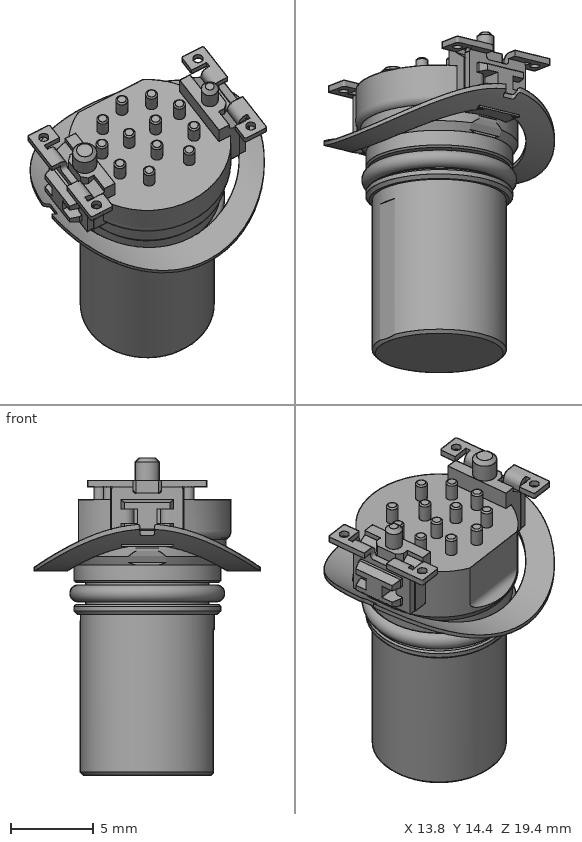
import math

import cadquery as cq

BARREL_RADIUS = 4.09
BARREL_HEIGHT = 9.8
BARREL_CHAMFER = 0.2
KEY_FLAT_X = 4.03
KEY_FLAT_HEIGHT = 8.9
FLANGE_RADIUS = 4.48
GROOVE_RADIUS = 3.76
GROOVE_BOTTOM_Z = 10.42
GROOVE_TOP_Z = 11.76
FLANGE_CHAMFER = 0.22
GROOVE_EDGE_CHAMFER = 0.12
SHOULDER_Z = 12.82
ORING_RADIUS = 0.52
ORING_CENTER_RADIUS = 4.2

HEAD_RADIUS = 4.8
HEAD_BOTTOM_Z = 13.33
HEAD_TOP_Z = 16.8
BULGE_RADIUS = 5.09
BULGE_ROUND_DEPTH = 0.33
BULGE_BOTTOM_Z = 14.37
BULGE_ROUND_TOP_Z = 14.95
SIDE_FLAT_X = -4.19
SIDE_FLAT_BOTTOM_Z = 14.07
SIDE_FLAT_ROUND = 0.54
SIDE_LEDGE_SLOPE = math.radians(29)
RELIEF_HALF_LENGTH = 2.2
RELIEF_FLAT_Y = 4.75
RELIEF_FLAT_TOP_Z = 13.86
RELIEF_FLAT_BOTTOM_Z = 13.67
RELIEF_EDGE_Y = 4.665
RELIEF_EDGE_Z = 13.36
RELIEF_FOOT_Y = 4.43
RELIEF_FOOT_TOP_Z = 12.97

PIN_RADIUS = 0.36
PIN_TOP_Z = 17.97
PIN_CHAMFER = 0.1
OUTER_PIN_CIRCLE = 2.89
OUTER_PIN_COUNT = 9
OUTER_PIN_START = 30
OUTER_PIN_STEP = 37.5
INNER_PIN_CIRCLE = 1.1
INNER_PIN_COUNT = 3

WASHER_THICKNESS = 0.24
WASHER_BEND_RADIUS = 11.5
WASHER_BOTTOM_Z = 12.44
WASHER_HALF_X = 6.89
WASHER_HALF_Y = 7.235
WASHER_HOLE_HALF_X = 4.9
WASHER_HOLE_HALF_Y = 5.84
NOTCH_WIDTH = 0.9
NOTCH_FLOOR_Y = 6.74
NOTCH_ROUND = 0.14

BLOCK_HALF_WIDTH = 2.24
CLIP_BOTTOM_Z = 14.34
CLIP_TOP_Z = 17.97
BLOCK_INNER_Y = 3.75
BLOCK_STEP_Y = 4.5
BLOCK_STEP_Z = 17.65
BLOCK_SLOPE_END_Z = 17.17
PLATE_HALF_WIDTH = 2.19
PLATE_INNER_Y = 5.25
PLATE_OUTER_Y = 5.71
CORE_HALF_WIDTH = 1.04
CORE_TIP_HALF_WIDTH = 0.7
CORE_TAPER_Y = 4.9
WING_HALF_LENGTH = 3.63
WING_THICKNESS = 0.39
WING_INNER_Y = 4.76
WING_OUTER_Y = 6.34
WING_PAD_INNER_X = 2.48
WING_CORNER_ROUND = 0.12
WING_HOLE_RADIUS = 0.3
WING_HOLE_X = 3.01
WING_HOLE_Y = 5.56
SLIT_INNER_X = 2.15
SLIT_END_Y = 5.84
BEND_RADIUS = 0.5
GAP_HALF_WIDTH = 0.86
GAP_FLOOR_Z = 17.2
GAP_ROUND = 0.22
BRIDGE_HALF_WIDTH = 1.6
BRIDGE_BOTTOM_Z = 14.81
BRIDGE_TOP_Z = 16.82
BRIDGE_BASE_Y = 5.89
BRIDGE_FACE_Y = 6.48
BRIDGE_BEVEL = 0.2
WINDOW_INNER_X = 0.6
WINDOW_FLAT_X = 0.82
WINDOW_OUTER_X = 1.42
WINDOW_BOTTOM_Z = 15.36
WINDOW_TOP_Z = 16.22
FOOT_HALF_WIDTH = 1.57
FOOT_INNER_Y = 4.4
FOOT_OUTER_Y = 5.9
FOOT_BOTTOM_Z = 13.95
FOOT_TOP_Z = 14.2

POST_TOP_Z = 19.35
POST_CHAMFER = 0.25
POST_Y = 4.51
FRONT_POST_RADIUS = 0.74
REAR_POST_RADIUS = 0.52


def box(x_min, x_max, y_min, y_max, z_min, z_max):
    return cq.Workplane("XY").box(
        x_max - x_min, y_max - y_min, z_max - z_min, centered=False
    ).translate((x_min, y_min, z_min))


def yz_prism(outline, half_width):
    """Extrude a (y, z) polygon along X, symmetric about the YZ plane."""
    return cq.Workplane("YZ").polyline(outline).close().extrude(half_width, both=True)


def make_barrel():
    turned = (
        cq.Workplane("XZ")
        .moveTo(0, 0)
        .lineTo(BARREL_RADIUS - BARREL_CHAMFER, 0)
        .lineTo(BARREL_RADIUS, BARREL_CHAMFER)
        .lineTo(BARREL_RADIUS, BARREL_HEIGHT)
        .lineTo(FLANGE_RADIUS - FLANGE_CHAMFER, BARREL_HEIGHT)
        .lineTo(FLANGE_RADIUS, BARREL_HEIGHT + FLANGE_CHAMFER)
        .lineTo(FLANGE_RADIUS, GROOVE_BOTTOM_Z - GROOVE_EDGE_CHAMFER)
        .lineTo(FLANGE_RADIUS - GROOVE_EDGE_CHAMFER, GROOVE_BOTTOM_Z)
        .lineTo(GROOVE_RADIUS, GROOVE_BOTTOM_Z)
        .lineTo(GROOVE_RADIUS, GROOVE_TOP_Z)
        .lineTo(FLANGE_RADIUS - GROOVE_EDGE_CHAMFER, GROOVE_TOP_Z)
        .lineTo(FLANGE_RADIUS, GROOVE_TOP_Z + GROOVE_EDGE_CHAMFER)
        .lineTo(FLANGE_RADIUS, SHOULDER_Z)
        .lineTo(HEAD_RADIUS, HEAD_BOTTOM_Z)
        .lineTo(HEAD_RADIUS, HEAD_TOP_Z)
        .lineTo(0, HEAD_TOP_Z)
        .close()
        .revolve(360, (0, 0), (0, 1))
    )
    key_cut = box(KEY_FLAT_X, BARREL_RADIUS, -BARREL_RADIUS, BARREL_RADIUS, 0, KEY_FLAT_HEIGHT)
    return turned.cut(key_cut)


def make_oring():
    groove_middle_z = (GROOVE_BOTTOM_Z + GROOVE_TOP_Z) / 2
    return (
        cq.Workplane("YZ")
        .center(-ORING_CENTER_RADIUS, groove_middle_z)
        .circle(ORING_RADIUS)
        .revolve(360, (ORING_CENTER_RADIUS, 0), (ORING_CENTER_RADIUS, 1))
    )


def make_head_bulge():
    """Wider +X half of the head, rounded along its lower edge."""
    foot_radius = BULGE_RADIUS - BULGE_ROUND_DEPTH
    mid_point = (
        foot_radius + BULGE_ROUND_DEPTH * math.sin(math.pi / 4),
        BULGE_ROUND_TOP_Z - (BULGE_ROUND_TOP_Z - BULGE_BOTTOM_Z) * math.sin(math.pi / 4),
    )
    bulge = (
        cq.Workplane("XZ")
        .moveTo(0, BULGE_BOTTOM_Z)
        .lineTo(foot_radius, BULGE_BOTTOM_Z)
        .threePointArc(mid_point, (BULGE_RADIUS, BULGE_ROUND_TOP_Z))
        .lineTo(BULGE_RADIUS, HEAD_TOP_Z)
        .lineTo(0, HEAD_TOP_Z)
        .close()
        .revolve(360, (0, 0), (0, 1))
    )
    return bulge.intersect(box(0, BULGE_RADIUS, -BULGE_RADIUS, BULGE_RADIUS, 0, HEAD_TOP_Z))


def make_side_flat_cut():
    """Flat on the -X side that runs through a concave round into a sloping ledge."""
    round_center_x = SIDE_FLAT_X - SIDE_FLAT_ROUND

    def round_point(angle):
        return (
            round_center_x + SIDE_FLAT_ROUND * math.cos(angle),
            SIDE_FLAT_BOTTOM_Z - SIDE_FLAT_ROUND * math.sin(angle),
        )

    round_angle = math.pi / 2 - SIDE_LEDGE_SLOPE
    round_end_x, round_end_z = round_point(round_angle)
    ledge_drop = (round_end_x + HEAD_RADIUS) * math.tan(SIDE_LEDGE_SLOPE)
    return (
        cq.Workplane("XZ")
        .moveTo(SIDE_FLAT_X, HEAD_TOP_Z)
        .lineTo(SIDE_FLAT_X, SIDE_FLAT_BOTTOM_Z)
        .threePointArc(round_point(round_angle / 2), (round_end_x, round_end_z))
        .lineTo(-HEAD_RADIUS, round_end_z - ledge_drop)
        .lineTo(-HEAD_RADIUS, HEAD_TOP_Z)
        .close()
        .extrude(HEAD_RADIUS, both=True)
    )


def make_relief_cut():
    """Shallow relief across the lower edge of the head, for the -Y side."""
    return yz_prism(
        [
            (-HEAD_RADIUS, RELIEF_FLAT_TOP_Z),
            (-RELIEF_FLAT_Y, RELIEF_FLAT_TOP_Z),
            (-RELIEF_FLAT_Y, RELIEF_FLAT_BOTTOM_Z),
            (-RELIEF_EDGE_Y, RELIEF_EDGE_Z),
            (-RELIEF_FOOT_Y, RELIEF_FOOT_TOP_Z),
            (-RELIEF_FOOT_Y, SHOULDER_Z),
            (-HEAD_RADIUS, SHOULDER_Z),
        ],
        RELIEF_HALF_LENGTH,
    )


def make_pins():
    outer = [
        (OUTER_PIN_CIRCLE, OUTER_PIN_START + i * OUTER_PIN_STEP) for i in range(OUTER_PIN_COUNT)
    ]
    inner = [(INNER_PIN_CIRCLE, i * 360 / INNER_PIN_COUNT) for i in range(INNER_PIN_COUNT)]
    points = [
        (radius * math.cos(math.radians(angle)), radius * math.sin(math.radians(angle)))
        for radius, angle in outer + inner
    ]
    return (
        cq.Workplane("XY", origin=(0, 0, HEAD_BOTTOM_Z))
        .pushPoints(points)
        .circle(PIN_RADIUS)
        .extrude(PIN_TOP_Z - HEAD_BOTTOM_Z)
        .faces(">Z")
        .chamfer(PIN_CHAMFER)
    )


def make_washer():
    bend_center_z = WASHER_BOTTOM_Z + WASHER_BEND_RADIUS
    sheet = (
        cq.Workplane("YZ")
        .center(0, bend_center_z)
        .circle(WASHER_BEND_RADIUS)
        .circle(WASHER_BEND_RADIUS - WASHER_THICKNESS)
        .extrude(WASHER_HALF_X, both=True)
    )
    outline = (
        cq.Workplane("XY", origin=(0, 0, WASHER_BOTTOM_Z))
        .ellipse(WASHER_HALF_X, WASHER_HALF_Y)
        .ellipse(WASHER_HOLE_HALF_X, WASHER_HOLE_HALF_Y)
        .extrude(WASHER_BEND_RADIUS / 2)
    )
    notch = box(
        -NOTCH_WIDTH / 2, NOTCH_WIDTH / 2, NOTCH_FLOOR_Y, WASHER_HALF_Y, WASHER_BOTTOM_Z, bend_center_z
    )
    notch = notch.edges("|Z and <Y").fillet(NOTCH_ROUND)
    outline = outline.cut(notch).cut(notch.mirror("XZ"))
    mouth_y = NOTCH_FLOOR_Y + 2 * NOTCH_ROUND
    for y_min, y_max in ((mouth_y, WASHER_HALF_Y), (-WASHER_HALF_Y, -mouth_y)):
        mouth = cq.selectors.BoxSelector((-NOTCH_WIDTH, y_min, 0), (NOTCH_WIDTH, y_max, bend_center_z))
        outline = outline.edges(mouth).fillet(NOTCH_ROUND)
    return sheet.intersect(outline)


def make_clip_block():
    """Block behind the clip plate, sloped at the top except for a tapered core."""
    base = yz_prism(
        [
            (BLOCK_INNER_Y, HEAD_TOP_Z),
            (BLOCK_INNER_Y, CLIP_TOP_Z),
            (BLOCK_STEP_Y, CLIP_TOP_Z),
            (BLOCK_STEP_Y, BLOCK_STEP_Z),
            (PLATE_INNER_Y, BLOCK_SLOPE_END_Z),
            (PLATE_INNER_Y, CLIP_BOTTOM_Z),
            (BLOCK_INNER_Y, CLIP_BOTTOM_Z),
        ],
        BLOCK_HALF_WIDTH,
    )
    core = (
        cq.Workplane("XY", origin=(0, 0, HEAD_TOP_Z))
        .polyline([
            (-CORE_HALF_WIDTH, BLOCK_INNER_Y),
            (CORE_HALF_WIDTH, BLOCK_INNER_Y),
            (CORE_HALF_WIDTH, CORE_TAPER_Y),
            (CORE_TIP_HALF_WIDTH, PLATE_INNER_Y),
            (-CORE_TIP_HALF_WIDTH, PLATE_INNER_Y),
            (-CORE_HALF_WIDTH, CORE_TAPER_Y),
        ])
        .close()
        .extrude(CLIP_TOP_Z - HEAD_TOP_Z)
    )
    return base.union(core)


def make_clip_wings():
    """Flat solder wings with a hole in each pad and a slit beside the bend."""
    bottom_z = CLIP_TOP_Z - WING_THICKNESS
    wings = box(
        -WING_HALF_LENGTH, WING_HALF_LENGTH, WING_INNER_Y, WING_OUTER_Y, bottom_z, CLIP_TOP_Z
    )
    wings = wings.edges("|Z").fillet(WING_CORNER_ROUND)
    wings = wings.cut(box(
        -WING_PAD_INNER_X, WING_PAD_INNER_X, WING_INNER_Y, SLIT_END_Y, bottom_z, CLIP_TOP_Z
    ))
    wing_holes = (
        cq.Workplane("XY", origin=(0, 0, bottom_z))
        .pushPoints([(-WING_HOLE_X, WING_HOLE_Y), (WING_HOLE_X, WING_HOLE_Y)])
        .circle(WING_HOLE_RADIUS)
        .extrude(WING_THICKNESS)
    )
    return wings.cut(wing_holes)


def make_clip_plate():
    """Upright plate bent outward into two solder wings with a gap between them."""
    wing_bottom_z = CLIP_TOP_Z - WING_THICKNESS
    bend_start_z = CLIP_TOP_Z - BEND_RADIUS
    bend_end_y = PLATE_INNER_Y + BEND_RADIUS
    bend_shift = BEND_RADIUS * math.sin(math.pi / 4)
    upright = box(
        -PLATE_HALF_WIDTH, PLATE_HALF_WIDTH, PLATE_INNER_Y, PLATE_OUTER_Y, CLIP_BOTTOM_Z, bend_start_z
    )
    bend = (
        cq.Workplane("YZ")
        .moveTo(PLATE_INNER_Y, CLIP_BOTTOM_Z)
        .lineTo(PLATE_INNER_Y, bend_start_z)
        .threePointArc(
            (bend_end_y - bend_shift, bend_start_z + bend_shift), (bend_end_y, CLIP_TOP_Z)
        )
        .lineTo(WING_OUTER_Y, CLIP_TOP_Z)
        .lineTo(WING_OUTER_Y, wing_bottom_z)
        .lineTo(PLATE_OUTER_Y, wing_bottom_z)
        .lineTo(PLATE_OUTER_Y, CLIP_BOTTOM_Z)
        .close()
        .extrude(SLIT_INNER_X, both=True)
    )
    gap = box(
        -GAP_HALF_WIDTH, GAP_HALF_WIDTH, PLATE_INNER_Y, WING_OUTER_Y, GAP_FLOOR_Z, CLIP_TOP_Z
    )
    gap = gap.edges("|Y and <Z").fillet(GAP_ROUND)
    return upright.union(bend).union(make_clip_wings()).cut(gap)


def make_clip_bridge():
    """Raised block on the plate, bevelled on all four sides of its outer face."""
    width = 2 * BRIDGE_HALF_WIDTH
    height = BRIDGE_TOP_Z - BRIDGE_BOTTOM_Z
    middle_z = (BRIDGE_TOP_Z + BRIDGE_BOTTOM_Z) / 2
    bevel_depth = BRIDGE_FACE_Y - BRIDGE_BASE_Y
    base = box(
        -BRIDGE_HALF_WIDTH, BRIDGE_HALF_WIDTH, PLATE_INNER_Y, BRIDGE_BASE_Y, BRIDGE_BOTTOM_Z, BRIDGE_TOP_Z
    )
    raised = (
        cq.Workplane("XZ", origin=(0, BRIDGE_BASE_Y, middle_z))
        .rect(width, height)
        .workplane(offset=-bevel_depth)
        .rect(width - 2 * BRIDGE_BEVEL, height - 2 * BRIDGE_BEVEL)
        .loft(combine=True)
    )
    return base.union(raised)


def make_bridge_window():
    """Opening beside the web of the bridge, with a rounded inner edge in the plate."""
    round_depth = PLATE_OUTER_Y - PLATE_INNER_Y
    round_width = WINDOW_OUTER_X - WINDOW_FLAT_X
    mid_point = (
        WINDOW_OUTER_X - round_width * math.sin(math.pi / 4),
        PLATE_OUTER_Y - round_depth * (1 - math.cos(math.pi / 4)),
    )
    return (
        cq.Workplane("XY", origin=(0, 0, WINDOW_BOTTOM_Z))
        .moveTo(WINDOW_INNER_X, PLATE_INNER_Y)
        .lineTo(WINDOW_FLAT_X, PLATE_INNER_Y)
        .threePointArc(mid_point, (WINDOW_OUTER_X, PLATE_OUTER_Y))
        .lineTo(BRIDGE_HALF_WIDTH, PLATE_OUTER_Y)
        .lineTo(BRIDGE_HALF_WIDTH, BRIDGE_FACE_Y)
        .lineTo(WINDOW_INNER_X, BRIDGE_FACE_Y)
        .close()
        .extrude(WINDOW_TOP_Z - WINDOW_BOTTOM_Z)
    )


def make_clip(post_radius):
    """Clip for the +Y side with its guide post."""
    window = make_bridge_window()
    foot = box(
        -FOOT_HALF_WIDTH, FOOT_HALF_WIDTH, FOOT_INNER_Y, FOOT_OUTER_Y, FOOT_BOTTOM_Z, FOOT_TOP_Z
    )
    post = (
        cq.Workplane("XY", origin=(0, POST_Y, HEAD_TOP_Z))
        .circle(post_radius)
        .extrude(POST_TOP_Z - HEAD_TOP_Z)
        .faces(">Z")
        .chamfer(POST_CHAMFER)
    )
    plate = make_clip_plate().union(make_clip_bridge())
    plate = plate.cut(window).cut(window.mirror("YZ"))
    return plate.union(make_clip_block()).union(foot).union(post)


head = make_barrel().union(make_head_bulge())
relief = make_relief_cut()
head = head.cut(make_side_flat_cut()).cut(relief).cut(relief.mirror("XZ"))

result = head.union(make_oring())
result = result.union(make_pins())
result = result.union(make_clip(REAR_POST_RADIUS))
result = result.union(make_clip(FRONT_POST_RADIUS).mirror("XZ"))
result = result.union(make_washer())